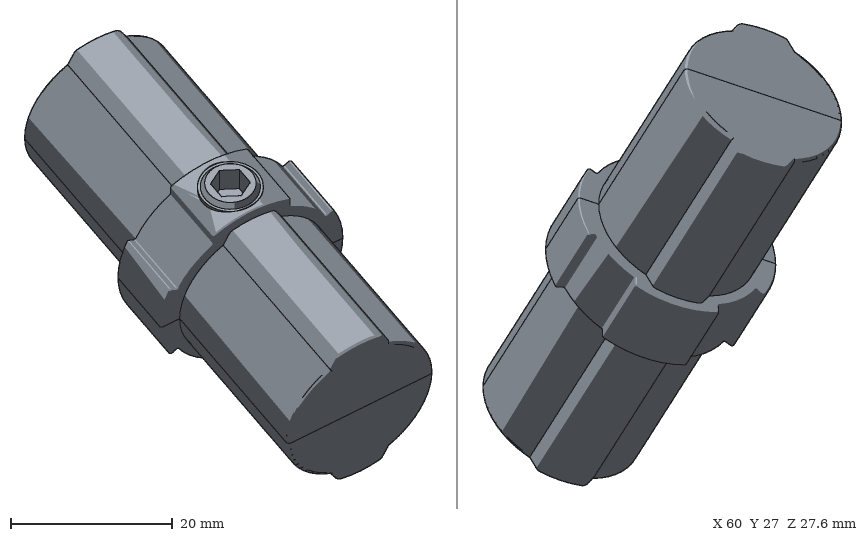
import cadquery as cq
import math


barrel_length = 60.0
barrel_radius = 10.75
collar_offset = 0.5
barrel_start = -barrel_length / 2 - collar_offset
barrel_end_round = 0.5

rib_radius = 12.1
rib_flank_lean = 30.0
rib_flank_half_width = 3.9
rib_flank_height = 10.55
rib_round = 1.0

collar_width = 9.95
collar_radius = 12.25
pad_radius = 13.5
pad_half_width = 5.7
side_pad_half_angle = 27.0
pad_round = 0.3

flange_radius = 4.1
head_radius = 3.7
screw_top = 14.05
screw_length = 6.0
head_height = 0.65
head_bevel_width = 0.55
hex_across_flats = 4.25
hex_depth = 3.6

split_block = 2 * barrel_length


def disc(radius, length, start):
    """A cylinder along X."""
    return cq.Workplane("YZ").circle(radius).extrude(length).translate((start, 0, 0))


def round_ends(body, radius):
    return body.faces("<X or >X").edges().fillet(radius)


def make_barrel():
    """Round bar with a dovetailed rib along its top and bottom, rounded at both ends."""
    slope = math.tan(math.radians(rib_flank_lean))
    crest_half_width = rib_flank_half_width - slope * (pad_radius - rib_flank_height)
    root_half_width = rib_flank_half_width + slope * rib_flank_height
    wedge = [
        (-crest_half_width, pad_radius),
        (crest_half_width, pad_radius),
        (root_half_width, 0),
        (crest_half_width, -pad_radius),
        (-crest_half_width, -pad_radius),
        (-root_half_width, 0),
    ]
    ribs = (
        cq.Workplane("YZ")
        .polyline(wedge)
        .close()
        .extrude(barrel_length)
        .translate((barrel_start, 0, 0))
        .intersect(disc(rib_radius, barrel_length, barrel_start))
    )
    crest_edges = cq.selectors.BoxSelector(
        (-barrel_length, -barrel_radius, barrel_radius),
        (barrel_length, barrel_radius, rib_radius),
    ) + cq.selectors.BoxSelector(
        (-barrel_length, -barrel_radius, -rib_radius),
        (barrel_length, barrel_radius, -barrel_radius),
    )
    ribs = ribs.edges("|X").edges(crest_edges).fillet(rib_round)
    bar = disc(barrel_radius, barrel_length, barrel_start)
    return round_ends(bar, barrel_end_round).union(round_ends(ribs, barrel_end_round))


def make_collar():
    """Ring with four raised pads, all of its outer edges rounded."""
    start = -collar_width / 2
    side_reach = 2 * pad_radius
    side_rise = side_reach * math.tan(math.radians(side_pad_half_angle))
    pad_sectors = cq.Workplane("YZ").rect(2 * pad_half_width, 2 * side_reach).extrude(collar_width)
    for side in (1, -1):
        wedge = [(0, 0), (side * side_reach, side_rise), (side * side_reach, -side_rise)]
        pad_sectors = pad_sectors.union(cq.Workplane("YZ").polyline(wedge).close().extrude(collar_width))
    pads = pad_sectors.translate((start, 0, 0)).intersect(disc(pad_radius, collar_width, start))
    collar = disc(collar_radius, collar_width, start).union(pads)
    collar = collar.edges("|X").fillet(pad_round)
    return round_ends(collar, pad_round)


def make_screw():
    """Cylinder let into the top pad, with a bevelled head and a hexagon socket."""
    flange_top = screw_length - head_height
    profile = [
        (0, 0),
        (flange_radius, 0),
        (flange_radius, flange_top),
        (head_radius, flange_top),
        (head_radius - head_bevel_width, screw_length),
        (0, screw_length),
    ]
    body = cq.Workplane("XZ").polyline(profile).close().revolve(360, (0, 0), (0, 1))
    hex_corners = hex_across_flats / math.cos(math.radians(30))
    socket = cq.Workplane("XY", origin=(0, 0, screw_length - hex_depth)).polygon(6, hex_corners)
    body = body.cut(socket.extrude(hex_depth))
    return body.translate((0, 0, screw_top - screw_length))


whole_housing = make_barrel().union(make_collar())
above = cq.Workplane("XY").box(split_block, split_block, split_block, centered=(True, True, False))
screw_hole = (
    cq.Workplane("XY").circle(flange_radius).extrude(screw_length)
    .translate((0, 0, screw_top - screw_length))
)

upper_housing = whole_housing.intersect(above).cut(screw_hole)
lower_housing = whole_housing.cut(above)
screw = make_screw()

result = cq.Compound.makeCompound([upper_housing.val(), lower_housing.val(), screw.val()])